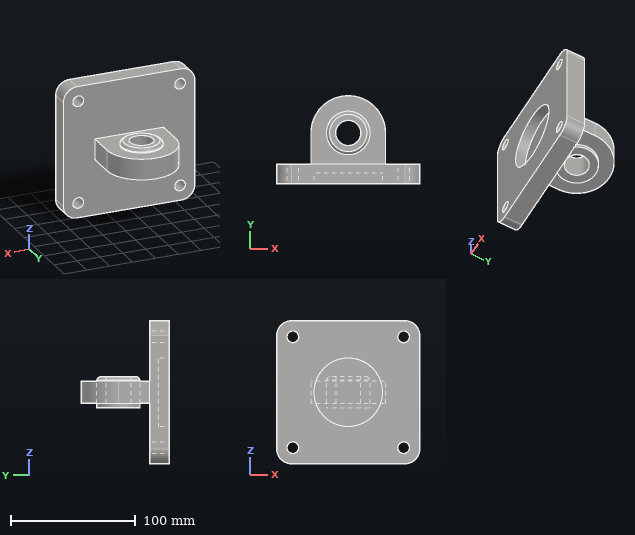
import cadquery as cq

plate_side = 115.0
plate_thickness = 16.0
corner_radius = 12.0
mount_hole_diameter = 9.2
mount_hole_spacing = 89.0
recess_diameter = 55.0
recess_depth = 9.0

overall_depth = 71.0
lug_width = 60.0
lug_thickness = 18.0
eye_radius = lug_width / 2
eye_y = overall_depth - eye_radius

bearing_diameter = 35.0
bearing_bore = 20.0
bearing_length = 25.0
crown_size = 2.5
crown_bulge = 0.3


def make_plate():
    """Rounded square plate with corner holes and a round recess in the front."""
    plate = (
        cq.Workplane("XZ")
        .rect(plate_side, plate_side)
        .extrude(-plate_thickness)
        .edges("|Y")
        .fillet(corner_radius)
    )
    mount_holes = (
        cq.Workplane("XZ")
        .rect(mount_hole_spacing, mount_hole_spacing, forConstruction=True)
        .vertices()
        .circle(mount_hole_diameter / 2)
        .extrude(-plate_thickness)
    )
    recess = cq.Workplane("XZ").circle(recess_diameter / 2).extrude(-recess_depth)
    return plate.cut(mount_holes).cut(recess)


def make_lug():
    """Flat lug with a rounded end and a through hole that seats the bearing."""
    lug = (
        cq.Workplane("XY", origin=(0, 0, -lug_thickness / 2))
        .moveTo(-eye_radius, plate_thickness)
        .lineTo(eye_radius, plate_thickness)
        .lineTo(eye_radius, eye_y)
        .threePointArc((0, overall_depth), (-eye_radius, eye_y))
        .close()
        .extrude(lug_thickness)
    )
    seat = (
        cq.Workplane("XY", origin=(0, eye_y, -lug_thickness / 2))
        .circle(bearing_diameter / 2)
        .extrude(lug_thickness)
    )
    return lug.cut(seat)


def make_flange():
    """One-piece plate and lug."""
    return make_plate().union(make_lug())


def make_bearing():
    """Sleeve turned about its own axis, with its upper outer edge crowned."""
    inner = bearing_bore / 2
    outer = bearing_diameter / 2
    top = bearing_length / 2
    return (
        cq.Workplane("XZ", origin=(0, eye_y, 0))
        .moveTo(inner, -top)
        .lineTo(outer, -top)
        .lineTo(outer, top - crown_size)
        .sagittaArc((outer - crown_size, top), -crown_bulge)
        .lineTo(inner, top)
        .close()
        .revolve(360, (0, 0, 0), (0, 1, 0))
    )


flange = make_flange()
bearing = make_bearing()

result = cq.Compound.makeCompound([flange.val(), bearing.val()])